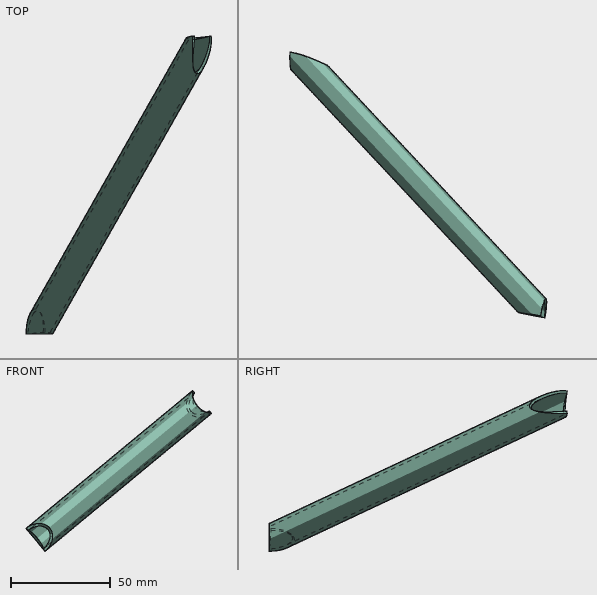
import cadquery as cq
import math

length_y = 149.5
start_x = -41.7
start_z = -34.5
axis_run = 110.0
outer_radius = 7.5
wall = 1.5

seat_radius = 10.8
corner_run = 108.4
end_lean = 0.13

overrun = 29.9
block_width = 4 * outer_radius

start_run = math.hypot(start_x, start_z)
lean_x = -start_x / start_run
lean_z = -start_z / start_run
start = cq.Vector(start_x, -length_y / 2, start_z)
axis = cq.Vector(lean_x * axis_run, length_y, lean_z * axis_run)


def long_rod():
    direction = axis.normalized()
    rod_length = axis.Length + 2 * overrun
    rod = cq.Solid.makeCylinder(outer_radius, rod_length, start - direction * overrun, direction)
    return cq.Workplane(rod)


def trimming_block():
    """Region kept between the two flat lower cuts and the leaning upper end."""
    side = cq.Plane(origin=start, xDir=(lean_x, 0, lean_z), normal=(-lean_z, 0, lean_x))
    far_run = corner_run + block_width
    profile = [
        (0, 0),
        (far_run, 0),
        (far_run, length_y),
        (corner_run, length_y),
        (0, length_y - end_lean * corner_run),
    ]
    return cq.Workplane(side).polyline(profile).close().extrude(block_width / 2, both=True)


def seat_cutter():
    """Cylinder along Y whose surface meets the tube sides at the seat corners."""
    frame = cq.Plane(origin=start, xDir=(lean_x, 0, lean_z), normal=(0, 1, 0))
    seat_run = corner_run + math.sqrt(seat_radius**2 - outer_radius**2)
    return cq.Workplane(frame).center(seat_run, 0).circle(seat_radius).extrude(length_y)


trimmed_rod = long_rod().intersect(trimming_block()).cut(seat_cutter())

outer_skin = max(trimmed_rod.faces("%CYLINDER").vals(), key=lambda face: face.Area())
result = cq.Workplane(outer_skin.thicken(-wall))